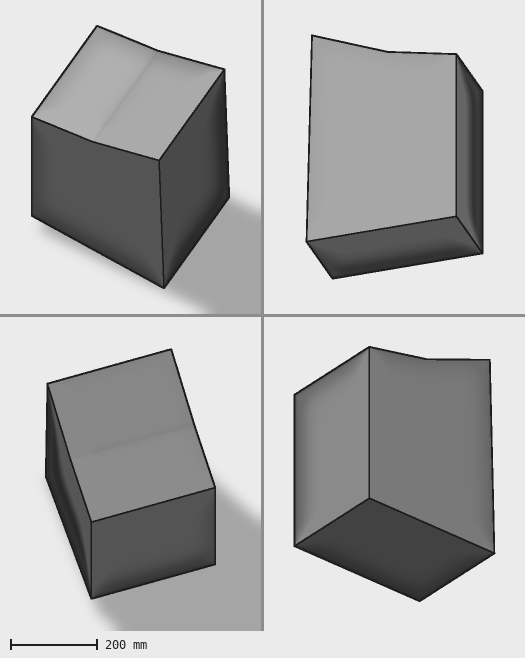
import cadquery as cq

length = 353.5
width = 300.0
height = 497.0

front_bottom = 39.5
front_top = 431.0
bend_x = 162.5
bend_z = 446.5
back_lean = 13.0

side_profile = [
    (0, front_bottom),
    (length, 0),
    (length - back_lean, height),
    (bend_x, bend_z),
    (0, front_top),
]

result = cq.Workplane("XZ").polyline(side_profile).close().extrude(width / 2, both=True)